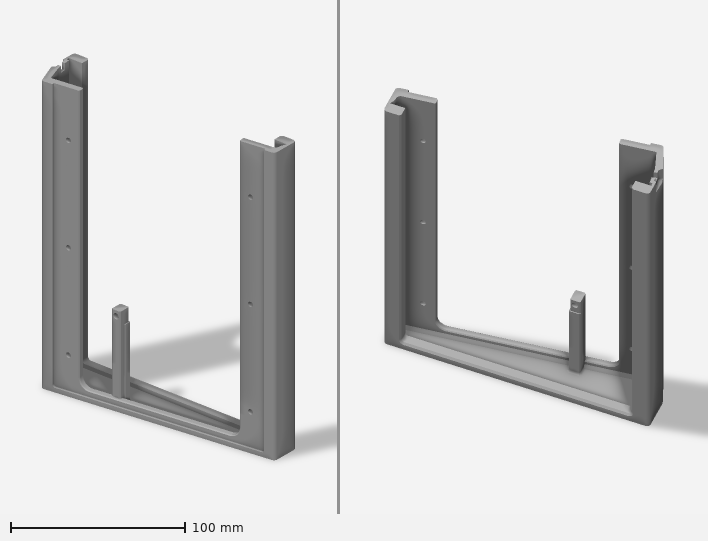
import cadquery as cq
import math

HEIGHT = 201.0
TILT = 6.6
SLOPE = math.tan(math.radians(TILT))
BACK_Y = 38.5
EDGE_RADIUS = 2.2
KNEE_RADIUS = 1.6

FRONT_LEFT_X = 4.8
FRONT_RIGHT_X = 164.8
KNEE_Y = 18.5

FRONT_WALL = 5.8
BACK_WALL = 6.6
FLOOR = 2.2
FLOOR_CHAMFER = 2.0
CAVITY_RADIUS = 2.8
GROOVE_LEFT_X = 3.0
GROOVE_RIGHT_X = 164.8
GROOVE_DEPTH = 2.2
LEFT_WALL_X = 4.6
RIGHT_WALL_X = 163.0
RIGHT_WALL_Y = 10.3
FLOOR_LEFT_X = 7.5
FLOOR_RIGHT_X = 162.0

BACK_OPEN_LEFT = 13.7
BACK_OPEN_RIGHT = 157.2
BACK_BAR_HEIGHT = 5.0
BACK_OPEN_DEPTH = 8.0
BACK_OPEN_RADIUS = 2.0
BACK_OPEN_CHAMFER = 1.2
CHAMFER_ANGLE = 45.0

WINDOW_LEFT_X = 30.0
WINDOW_RIGHT_X = 139.5
WINDOW_BOTTOM_Z = 6.8
WINDOW_RADIUS = 6.6
WINDOW_CHAMFER = 0.6
RECESS_LEFT_X = 12.5
RECESS_RIGHT_X = 157.4
RECESS_BOTTOM_Z = 3.0
RECESS_RADIUS = 1.6
RECESS_DEPTH = 1.6

HOLE_DIAMETER = 3.5
HOLE_XS = (22.3, 147.1)
HOLE_FIRST_Z = 26.1
HOLE_PITCH = 70.1
HOLE_ROWS = 3

POST_X = 50.2
POST_Y = 4.0
POST_WIDTH = 6.5
POST_DEPTH = 8.0
POST_TOP_Z = 63.7
RIB_TOP_Z = 54.0
RIB_EXTRA = 0.6
POST_FOOT = 1.5
POST_CHAMFER = 0.6
PIN_HOLE_DIAMETER = 4.0
PIN_HOLE_OFFSET = 3.5
PIN_HOLE_Z = 59.9

SLOT_Y = 23.1
SLOT_WIDTH = 4.0
SLOT_DEPTH = 4.5
POCKET_WIDTH = 8.5
POCKET_FLOOR_X = 2.5
POCKET_DEPTH = 7.8
POCKET_FLARE = 40.0

OVER = 10.0
PICK_MARGIN = 0.2


def back_y(x, inset=0.0):
    """Y of the back face at x, or of a parallel plane set inward from it."""
    return BACK_Y - SLOPE * x - inset / math.cos(math.radians(TILT))


def square_corner(x, y):
    """Point where a line at right angles to the back face, through (x, y), meets that face."""
    rise = (back_y(x) - y) / (1 + SLOPE**2)
    return x + SLOPE * rise, y + rise


def front_plane():
    """X-Z plane through the origin that faces -Y; negative extrusion goes into the part."""
    return cq.Plane(origin=(0, 0, 0), xDir=(1, 0, 0), normal=(0, -1, 0))


def edge_near(solid, point):
    """The edge whose middle is closest to the point."""
    return solid.edges(cq.selectors.NearestToPointSelector(point))


def outer_body():
    outline = [
        (FRONT_LEFT_X, 0),
        (FRONT_RIGHT_X, 0),
        square_corner(FRONT_RIGHT_X, 0),
        square_corner(0, KNEE_Y),
        (0, KNEE_Y),
    ]
    body = cq.Workplane("XY").polyline(outline).close().extrude(HEIGHT)
    body = edge_near(body, (0, KNEE_Y, HEIGHT / 2)).fillet(KNEE_RADIUS)
    for x, y in outline[:-1]:
        body = edge_near(body, (x, y, HEIGHT / 2)).fillet(EDGE_RADIUS)
    return body


def cavity():
    left_groove_y = back_y(GROOVE_LEFT_X, BACK_WALL) - GROOVE_DEPTH
    outline = [
        (FLOOR_LEFT_X, FRONT_WALL),
        (FLOOR_RIGHT_X, FRONT_WALL),
        (RIGHT_WALL_X, RIGHT_WALL_Y),
        (GROOVE_RIGHT_X, back_y(GROOVE_RIGHT_X, BACK_WALL)),
        (GROOVE_LEFT_X, back_y(GROOVE_LEFT_X, BACK_WALL)),
        (GROOVE_LEFT_X, left_groove_y),
        (LEFT_WALL_X, left_groove_y),
        (LEFT_WALL_X, KNEE_Y),
    ]
    room = cq.Workplane("XY", origin=(0, 0, FLOOR)).polyline(outline).close().extrude(HEIGHT)
    front_edge = ((FLOOR_LEFT_X + FLOOR_RIGHT_X) / 2, FRONT_WALL, FLOOR)
    left_edge = ((FLOOR_LEFT_X + LEFT_WALL_X) / 2, (FRONT_WALL + KNEE_Y) / 2, FLOOR)
    room = edge_near(room, front_edge).add(edge_near(room, left_edge)).chamfer(FLOOR_CHAMFER)
    right_corner = (FLOOR_RIGHT_X, FRONT_WALL, FLOOR + HEIGHT / 2)
    return edge_near(room, right_corner).fillet(CAVITY_RADIUS)


def open_slot(plane, left, right, bottom, radius):
    """Outline of a cutter with rounded lower corners that runs out through the top."""
    outline = cq.Sketch().rect(right - left, HEIGHT).vertices("<Y").fillet(radius).reset()
    middle = ((left + right) / 2, bottom + HEIGHT / 2)
    return cq.Workplane(plane).center(*middle).placeSketch(outline)


def back_opening():
    angle = math.radians(TILT)
    face = cq.Plane(
        origin=(0, BACK_Y, 0),
        xDir=(math.cos(angle), -math.sin(angle), 0),
        normal=(-math.sin(angle), -math.cos(angle), 0),
    )
    opening = open_slot(
        face, BACK_OPEN_LEFT, BACK_OPEN_RIGHT, BACK_BAR_HEIGHT, BACK_OPEN_RADIUS
    ).extrude(BACK_OPEN_DEPTH)
    rim = open_slot(
        face,
        BACK_OPEN_LEFT - BACK_OPEN_CHAMFER,
        BACK_OPEN_RIGHT + BACK_OPEN_CHAMFER,
        BACK_BAR_HEIGHT - BACK_OPEN_CHAMFER,
        BACK_OPEN_RADIUS + BACK_OPEN_CHAMFER,
    ).extrude(BACK_OPEN_CHAMFER, taper=CHAMFER_ANGLE)
    return opening.union(rim)


def front_recess():
    return open_slot(
        front_plane(), RECESS_LEFT_X, RECESS_RIGHT_X, RECESS_BOTTOM_Z, RECESS_RADIUS
    ).extrude(-RECESS_DEPTH)


def front_window():
    return open_slot(
        front_plane(), WINDOW_LEFT_X, WINDOW_RIGHT_X, WINDOW_BOTTOM_Z, WINDOW_RADIUS
    ).extrude(-FRONT_WALL)


def window_rim(body):
    """Edges around the window on both faces of the front wall."""
    box = cq.selectors.BoxSelector(
        (WINDOW_LEFT_X - PICK_MARGIN, RECESS_DEPTH - PICK_MARGIN, WINDOW_BOTTOM_Z - PICK_MARGIN),
        (WINDOW_RIGHT_X + PICK_MARGIN, FRONT_WALL + PICK_MARGIN, HEIGHT - PICK_MARGIN),
    )
    return body.edges(box).edges("not |Y")


def screw_holes():
    rows = [HOLE_FIRST_Z + HOLE_PITCH * row for row in range(HOLE_ROWS)]
    spots = [(x, z) for x in HOLE_XS for z in rows]
    return (
        cq.Workplane(front_plane())
        .pushPoints(spots)
        .circle(HOLE_DIAMETER / 2)
        .extrude(-FRONT_WALL)
    )


def post():
    """Post built with its front left corner at the origin, then turned and moved into place."""
    main = (
        cq.Workplane("XY")
        .box(POST_WIDTH, POST_DEPTH, POST_TOP_Z - FLOOR, centered=False)
        .edges("|Z")
        .chamfer(POST_CHAMFER)
    )
    rib = (
        cq.Workplane("XY", origin=(0, POST_DEPTH / 2, 0))
        .box(POST_WIDTH + RIB_EXTRA, POST_DEPTH / 2 + RIB_EXTRA, RIB_TOP_Z - FLOOR, centered=False)
        .edges("|Z and >Y")
        .chamfer(POST_CHAMFER)
    )
    pin_hole = (
        cq.Workplane(front_plane())
        .center(PIN_HOLE_OFFSET, PIN_HOLE_Z - FLOOR)
        .circle(PIN_HOLE_DIAMETER / 2)
        .extrude(-POST_DEPTH)
    )
    upright = main.union(rib).cut(pin_hole)
    return upright.rotate((0, 0, 0), (0, 0, 1), -TILT).translate((POST_X, POST_Y, FLOOR))


def post_foot(body):
    """Edges where the post meets the flat floor."""
    lip_end = FRONT_WALL + FLOOR_CHAMFER
    box = cq.selectors.BoxSelector(
        (POST_X - PICK_MARGIN, lip_end + PICK_MARGIN, FLOOR - PICK_MARGIN),
        (POST_X + 2 * POST_WIDTH, POST_Y + 2 * POST_DEPTH, FLOOR + PICK_MARGIN),
    )
    return body.edges(box)


def cable_slot():
    slot = cq.Workplane("XY").box(2 * OVER, SLOT_WIDTH, 2 * SLOT_DEPTH)
    slot = slot.translate((0, SLOT_Y, HEIGHT))
    floor_center = (POCKET_FLOOR_X, SLOT_Y, HEIGHT)
    floor_plane = cq.Plane(origin=floor_center, xDir=(0, -1, 0), normal=(-1, 0, 0))
    pocket = (
        cq.Workplane(floor_plane)
        .rect(POCKET_WIDTH, 2 * POCKET_DEPTH)
        .extrude(POCKET_FLOOR_X, taper=-POCKET_FLARE)
    )
    return slot.union(pocket)


result = outer_body().cut(cavity()).cut(back_opening()).cut(front_recess()).cut(front_window())
result = window_rim(result).chamfer(WINDOW_CHAMFER)
result = result.union(post())
result = post_foot(result).fillet(POST_FOOT)
result = result.cut(screw_holes()).cut(cable_slot())